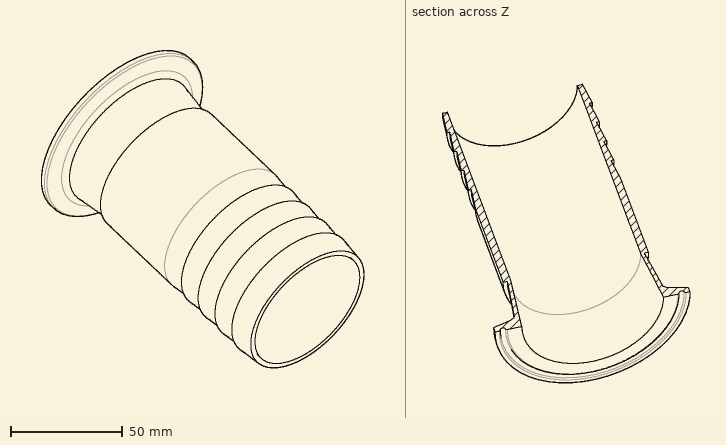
import cadquery as cq
import math

length = 134.0
body_radius = 68.0 / 2
body_start = 28.0
bore_radius = 60.5 / 2

flange_radius = 91.0 / 2
rim_width = 2.3
rim_round_end_x = 3.2
back_angle = 14.0
back_end_x = 5.0

neck_start_x = 6.8
neck_start_radius = 34.7
neck_end_radius = 32.0
mouth_radius = 33.0
mouth_depth = body_start

groove_radius = 41.7
groove_half_width = 2.0
groove_inner_half_width = 1.2
groove_lip_depth = 0.7
groove_depth = 1.5

barb_count = 5
barb_start = 74.0
barb_pitch = (length - barb_start) / barb_count
barb_root_radius = 32.7


def revolve_about_x(profile):
    """Revolve a closed profile, drawn as (axial position, radius), about X."""
    return profile.close().revolve(360, (0, 0, 0), (1, 0, 0))


def make_outer_body():
    """Flange, tapered neck, straight body and barbs as one solid."""
    slope = math.radians(back_angle)
    rim_round = (rim_round_end_x - rim_width) / math.cos(slope)
    rim_round_end_radius = flange_radius - rim_round * (1 - math.sin(slope))
    back_drop = (back_end_x - rim_round_end_x) / math.tan(slope)
    profile = (
        cq.Workplane("XY")
        .lineTo(0, flange_radius)
        .lineTo(rim_width, flange_radius)
        .tangentArcPoint((rim_round_end_x, rim_round_end_radius), relative=False)
        .lineTo(back_end_x, rim_round_end_radius - back_drop)
        .tangentArcPoint((neck_start_x, neck_start_radius), relative=False)
        .lineTo(body_start, neck_end_radius)
        .lineTo(body_start, body_radius)
        .lineTo(barb_start, body_radius)
    )
    for barb in range(barb_count):
        barb_end = barb_start + (barb + 1) * barb_pitch
        profile = profile.lineTo(barb_end, barb_root_radius)
        if barb < barb_count - 1:
            profile = profile.lineTo(barb_end, body_radius)
    return revolve_about_x(profile.lineTo(length, 0))


def make_bore():
    """Through bore with a conical mouth at the flange."""
    return revolve_about_x(
        cq.Workplane("XY")
        .lineTo(0, mouth_radius)
        .lineTo(mouth_depth, bore_radius)
        .lineTo(length, bore_radius)
        .lineTo(length, 0)
    )


def make_gasket_groove():
    """Ring groove with rounded lips and a round bottom."""
    lip_outer = groove_radius + groove_half_width
    lip_inner = groove_radius - groove_half_width
    bottom_outer = groove_radius + groove_inner_half_width
    bottom_inner = groove_radius - groove_inner_half_width
    lip_width = groove_half_width - groove_inner_half_width
    diagonal = math.sin(math.radians(45))

    def lip_middle(side):
        """Middle of the rounded lip on the outer (1) or inner (-1) side."""
        return (
            groove_lip_depth * (1 - diagonal),
            groove_radius + side * (groove_half_width - lip_width * diagonal),
        )

    return revolve_about_x(
        cq.Workplane("XY")
        .moveTo(0, lip_inner)
        .threePointArc(lip_middle(-1), (groove_lip_depth, bottom_inner))
        .threePointArc((groove_depth, groove_radius), (groove_lip_depth, bottom_outer))
        .threePointArc(lip_middle(1), (0, lip_outer))
    )


result = make_outer_body().cut(make_bore()).cut(make_gasket_groove())